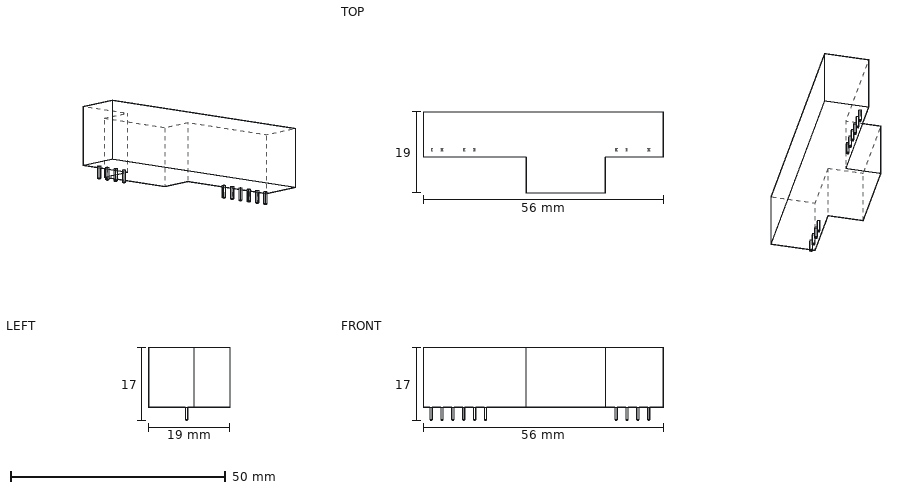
import cadquery as cq

length = 56.0
total_depth = 19.0
total_height = 17.0
body_height = 14.0
bar_depth = 10.6
block_left = 23.95
block_width = 18.5

pin_width = 0.55
pin_length = total_height - body_height
pin_tip_chamfer = 0.15
first_pin_x = 1.8
pin_row_span = 50.8
pin_from_back = 8.85
grid_steps = 20
left_pin_count = 6
right_pin_count = 4
pin_pitch = pin_row_span / grid_steps


def make_housing():
    """Extrude the T-shaped plan upward from the underside at Z = 0."""
    block_depth = total_depth - bar_depth
    bar = cq.Workplane("XY").box(length, bar_depth, body_height, centered=False)
    bar = bar.translate((0, block_depth, 0))
    block = cq.Workplane("XY").box(block_width, total_depth, body_height, centered=False)
    return bar.union(block.translate((block_left, 0, 0)))


def make_pin(grid_index):
    """Make one downward pin with a chamfered tip."""
    x = first_pin_x + grid_index * pin_pitch
    y = total_depth - pin_from_back
    pin = cq.Workplane("XY").center(x, y).rect(pin_width, pin_width).extrude(-pin_length)
    return pin.faces("<Z").chamfer(pin_tip_chamfer)


left_pins = range(left_pin_count)
right_pins = range(grid_steps + 1 - right_pin_count, grid_steps + 1)

result = make_housing()
for index in [*left_pins, *right_pins]:
    result = result.union(make_pin(index))